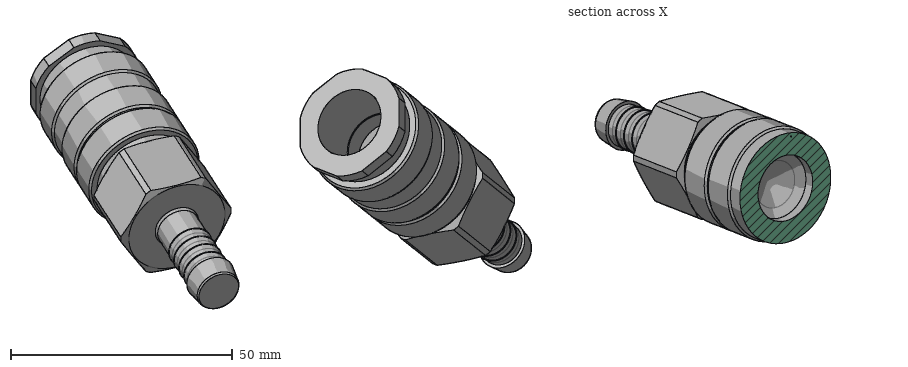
import cadquery as cq
import math

total_length = 81.5

flange_diameter = 26.0
flange_across_flats = 25.0
flange_length = 3.1

neck_diameter = 23.0
rear_neck_diameter = 23.3
ring_diameter = 27.0
ring_groove_diameter = 26.0
ring_chamfer = (ring_diameter - ring_groove_diameter) / 2
first_ring_start = 7.5
first_ring_end = 15.3
second_ring_start = 20.5
second_ring_end = 28.7
third_ring_start = 29.2
third_ring_end = 37.4

nut_start = 39.45
nut_end = 56.6
nut_across_flats = 24.05
nut_corner_diameter = 27.0
nut_face_diameter = 23.5
nut_chamfer_length = 0.6

stem_diameter = 10.0
stem_root_diameter = 10.6
stem_root_length = 0.7
barb_ridge_diameter = 10.5
barb_ridge_count = 4
barb_start = 64.4
barb_head_start = 76.4
barb_head_diameter = 11.5
barb_ridge_pitch = (barb_head_start - barb_start) / barb_ridge_count
barb_ridge_length = barb_ridge_pitch / 2
tip_edge_length = 0.5
tip_edge_diameter = 10.2
tip_face_diameter = 9.7

mouth_diameter = 16.0
mouth_depth = 14.7
bore_diameter = 15.4
bore_depth = 19.6
cone_end_diameter = 11.1
cone_end_depth = 20.9
bore_tip_depth = 23.6


def revolve_profile(points):
    """Turn a closed outline of (x, radius) points about the X axis."""
    return cq.Workplane("XY").polyline(points).close().revolve(360, (0, 0, 0), (1, 0, 0))


def cylinder(start, end, diameter):
    return cq.Workplane("YZ", origin=(start, 0, 0)).circle(diameter / 2).extrude(end - start)


def hexagon(start, end, across_flats, turn):
    """Hexagonal prism along X; with no turn, two of its corners point along Y."""
    across_corners = across_flats / math.cos(math.radians(30))
    prism = cq.Workplane("YZ", origin=(start, 0, 0)).polygon(6, across_corners).extrude(end - start)
    return prism.rotate((0, 0, 0), (1, 0, 0), turn)


def make_flange():
    disc = cylinder(0, flange_length, flange_diameter)
    return disc.intersect(hexagon(0, flange_length, flange_across_flats, 30))


def make_ring(start, end):
    return cylinder(start, end, ring_diameter).faces("<X or >X").chamfer(ring_chamfer)


def make_sleeve():
    sleeve = cylinder(flange_length, third_ring_start, neck_diameter)
    sleeve = sleeve.union(cylinder(third_ring_start, nut_start, rear_neck_diameter))
    sleeve = sleeve.union(cylinder(first_ring_end - ring_chamfer, third_ring_start + ring_chamfer,
                                   ring_groove_diameter))
    for start, end in (
        (first_ring_start, first_ring_end),
        (second_ring_start, second_ring_end),
        (third_ring_start, third_ring_end),
    ):
        sleeve = sleeve.union(make_ring(start, end))
    return sleeve


def make_nut():
    face_radius = nut_face_diameter / 2
    corner_radius = nut_corner_diameter / 2
    turned_blank = revolve_profile([
        (nut_start, 0),
        (nut_start, face_radius),
        (nut_start + nut_chamfer_length, corner_radius),
        (nut_end - nut_chamfer_length, corner_radius),
        (nut_end, face_radius),
        (nut_end, 0),
    ])
    return turned_blank.intersect(hexagon(nut_start, nut_end, nut_across_flats, 0))


def make_hose_barb():
    stem_radius = stem_diameter / 2
    profile = [
        (nut_end, 0),
        (nut_end, stem_root_diameter / 2),
        (nut_end + stem_root_length, stem_radius),
    ]
    for index in range(barb_ridge_count):
        ridge_start = barb_start + index * barb_ridge_pitch
        profile += [
            (ridge_start, stem_radius),
            (ridge_start, barb_ridge_diameter / 2),
            (ridge_start + barb_ridge_length, stem_radius),
        ]
    profile += [
        (barb_head_start, stem_radius),
        (barb_head_start, barb_head_diameter / 2),
        (total_length - tip_edge_length, tip_edge_diameter / 2),
        (total_length, tip_face_diameter / 2),
        (total_length, 0),
    ]
    return revolve_profile(profile)


def make_bore():
    return revolve_profile([
        (0, 0),
        (0, mouth_diameter / 2),
        (mouth_depth, mouth_diameter / 2),
        (mouth_depth, bore_diameter / 2),
        (bore_depth, bore_diameter / 2),
        (cone_end_depth, cone_end_diameter / 2),
        (bore_tip_depth, 0),
    ])


body = make_flange().union(make_sleeve()).union(make_nut()).union(make_hose_barb())
result = body.cut(make_bore())